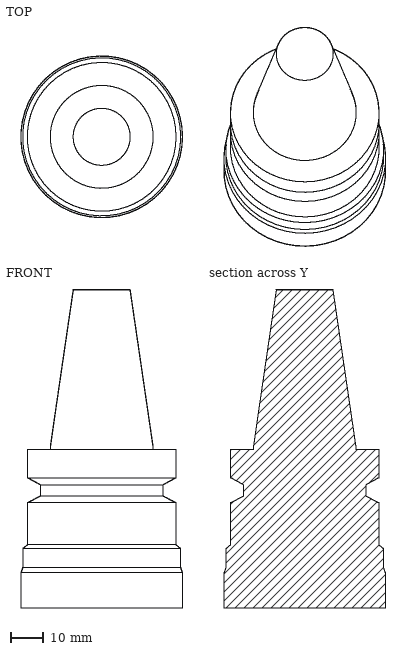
import cadquery as cq

base_diameter = 50.0
collar_diameter = 48.8
body_diameter = 46.0
groove_diameter = 38.0
taper_large_diameter = 31.8
taper_small_diameter = 17.6

base_top = 10.9
collar_bottom = 12.6
collar_top = 18.4
body_bottom = 19.6
groove_lower_edge = 32.6
groove_floor_bottom = 34.6
groove_floor_top = 38.1
groove_upper_edge = 40.2
flange_top = 49.0
taper_bottom = 50.0
overall_height = 98.4

profile = [
    (base_diameter, 0),
    (base_diameter, base_top),
    (collar_diameter, collar_bottom),
    (collar_diameter, collar_top),
    (body_diameter, body_bottom),
    (body_diameter, groove_lower_edge),
    (groove_diameter, groove_floor_bottom),
    (groove_diameter, groove_floor_top),
    (body_diameter, groove_upper_edge),
    (body_diameter, flange_top),
    (taper_large_diameter, flange_top),
    (taper_large_diameter, taper_bottom),
    (taper_small_diameter, overall_height),
]

outline = [(0, 0)]
outline += [(diameter / 2, height) for diameter, height in profile]
outline.append((0, overall_height))

result = cq.Workplane("XZ").polyline(outline).close().revolve(360, (0, 0), (0, 1))